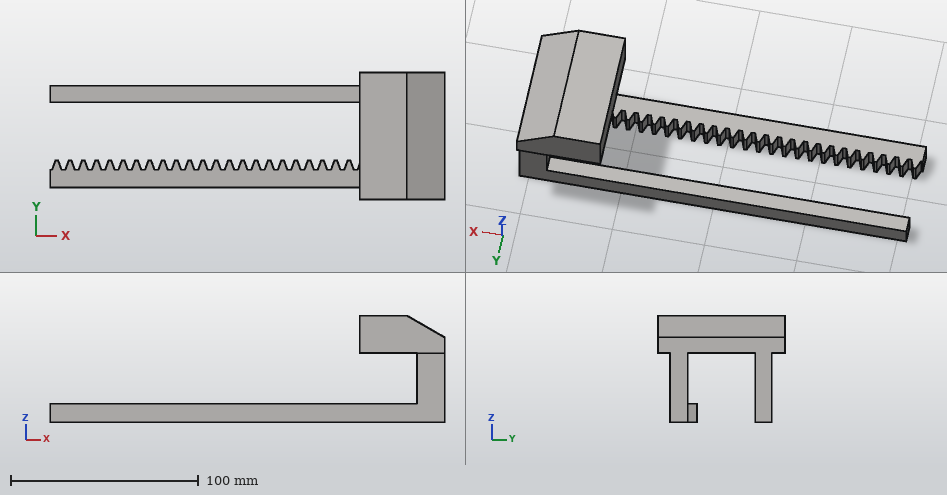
import cadquery as cq
import math

length = 210.0
width = 67.8
height = 57.0

head_length = 45.4
head_height = 20.0
slope_length = 20.2
slope_angle = 30.0
slope_drop = slope_length * math.tan(math.radians(slope_angle))

bar_height = 10.0
column_thickness = 15.0
plain_arm_width = 8.8
rack_arm_width = 9.5
plain_arm_inset = 7.1
rack_arm_inset = 6.5

tooth_count = 26
rack_length = 183.8
tooth_pitch = rack_length / tooth_count
tooth_height = 5.0
tooth_tip_width = 1.5
pressure_angle = 20.0
flank_run = tooth_height * math.tan(math.radians(pressure_angle))

head_bottom = height - head_height
rack_arm_outer_y = -width / 2 + rack_arm_inset
rack_root_y = rack_arm_outer_y + rack_arm_width
plain_arm_inner_y = width / 2 - plain_arm_inset - plain_arm_width


def extrude_along_y(points, start_y, depth):
    """Extrude a closed XZ outline from start_y towards +Y."""
    profile = cq.Workplane("XZ", origin=(0, start_y, 0)).polyline(points).close()
    return profile.extrude(-depth)


def make_head():
    points = [
        (length - head_length, head_bottom),
        (length, head_bottom),
        (length, height - slope_drop),
        (length - slope_length, height),
        (length - head_length, height),
    ]
    return extrude_along_y(points, -width / 2, width)


def make_arm(start_y, arm_width):
    column_front = length - column_thickness
    points = [
        (0, 0),
        (length, 0),
        (length, head_bottom),
        (column_front, head_bottom),
        (column_front, bar_height),
        (0, bar_height),
    ]
    return extrude_along_y(points, start_y, arm_width)


def make_rack():
    """One outline along the root line and over every tooth, closed inside the arm."""
    tip_y = rack_root_y + tooth_height
    inside_y = rack_root_y - rack_arm_width / 2
    half_tip = tooth_tip_width / 2
    half_root = half_tip + flank_run
    points = [(0, inside_y), (0, rack_root_y)]
    for index in range(tooth_count):
        center_x = (index + 0.5) * tooth_pitch
        points += [
            (center_x - half_root, rack_root_y),
            (center_x - half_tip, tip_y),
            (center_x + half_tip, tip_y),
            (center_x + half_root, rack_root_y),
        ]
    points += [(rack_length, rack_root_y), (rack_length, inside_y)]
    return cq.Workplane("XY").polyline(points).close().extrude(bar_height)


rack_arm = make_arm(rack_arm_outer_y, rack_arm_width).union(make_rack())
plain_arm = make_arm(plain_arm_inner_y, plain_arm_width)
result = make_head().union(rack_arm).union(plain_arm).clean()